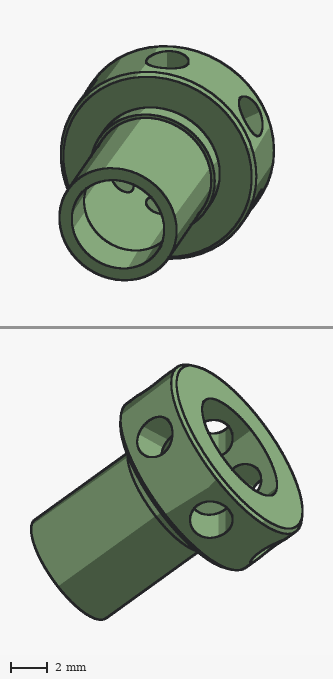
import cadquery as cq

total_length = 12.0
head_length = total_length / 3
collar_length = head_length / 4

head_diameter = total_length * 11 / 12
collar_diameter = 7.0
tube_diameter = 6.6
bore_diameter = 5.2
rear_bore_diameter = 6.3

hole_diameter = 2.3
hole_count = 6
chamfer = 0.2

head_start = total_length - head_length
collar_start = head_start - collar_length
rear_bore_start = 2.5
hole_y = total_length - head_length / 2


def cylinder_along_y(diameter, start, length):
    """Cylinder about the Y axis, running from start toward +Y."""
    circle = cq.Workplane("XZ", origin=(0, start, 0)).circle(diameter / 2)
    return circle.extrude(-length)


def radial_hole(angle):
    """Cutter from the axis out through the head wall, turned from +Z about Y."""
    circle = cq.Workplane("XY", origin=(0, hole_y, 0)).circle(hole_diameter / 2)
    return circle.extrude(head_diameter).rotate((0, 0, 0), (0, 1, 0), angle)


head = cylinder_along_y(head_diameter, head_start, head_length).edges().chamfer(chamfer)
collar = cylinder_along_y(collar_diameter, collar_start, collar_length)
tube = cylinder_along_y(tube_diameter, 0, collar_start)
result = head.union(collar).union(tube)

result = result.cut(cylinder_along_y(bore_diameter, 0, total_length))
rear_bore_length = total_length - rear_bore_start
result = result.cut(cylinder_along_y(rear_bore_diameter, rear_bore_start, rear_bore_length))

for index in range(hole_count):
    result = result.cut(radial_hole(index * 360 / hole_count))